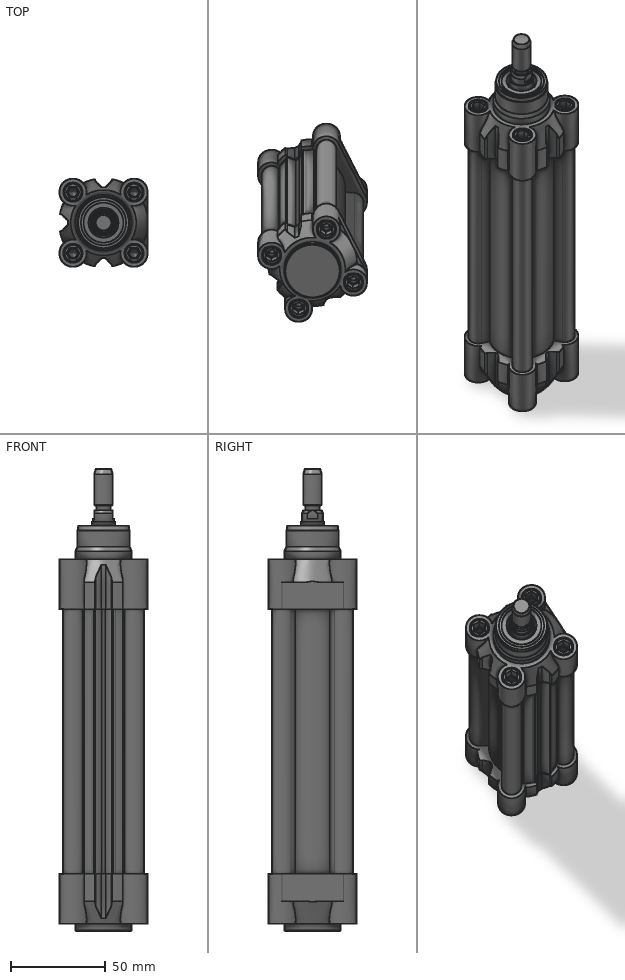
import cadquery as cq
import math


SQUARE = 47.0
CAP_LENGTH = 26.6
BARREL_LENGTH = 140.8
FRONT_FACE = 2 * CAP_LENGTH + BARREL_LENGTH
OVERLAP = 1.0

SCREW_OFFSET = 32.5 / 2
COLUMN_RADIUS = SQUARE / 2 - SCREW_OFFSET
CAP_FACE_RADIUS = 17.4
RIDGE_RADIUS = 23.7
RIDGE_HALF_WIDTH = 10.2
SLOPE_LENGTH = 12.2
V_FLOOR = 18.9
V_FLOOR_HALF_WIDTH = 1.1
V_WALL_REACH = 3.0
V_LIP_HALF_WIDTH = 4.8

SCREW_GROOVE_OUTER = 10.3 / 2
SCREW_GROOVE_INNER = 4.4
SCREW_GROOVE_DEPTH = 2.0
SOCKET_WIDTH = 6.0
SOCKET_DEPTH = 8.0
CORE_RADIUS = 4.92 / 2
CORE_DEPTH = 14.0
DRILL_TIP_ANGLE = 118.0
DRILL_TIP = CORE_RADIUS / math.tan(math.radians(DRILL_TIP_ANGLE / 2))

COLLAR_RADIUS = 15.0
COLLAR_LENGTH = 4.0
FRONT_COLLAR_LENGTH = 4.3
COLLAR_CHAMFER = 0.6
NECK_RADIUS = 14.0
NECK_START = 6.6
NECK_BEVEL_START = 15.1
NECK_BEVEL_RADIUS = 13.8
NECK_BEVEL_END = 15.5
NECK_TOP = 17.8
NECK_TOP_RADIUS = 13.5
RING_GROOVE_INNER = 10.6
RING_GROOVE_OUTER = 12.0
RING_GROOVE_DEPTH = 0.5
ROD_RECESS_RADIUS = 8.0
ROD_RECESS_FLOOR_RADIUS = 7.0
ROD_RECESS_TAPER = 3.0
ROD_RECESS_DEPTH = 6.0

ROD_RADIUS = 6.35
ROD_STEP = 20.0
FLAT_BODY_RADIUS = 5.7
ROD_SHOULDER = 26.0
SHOULDER_CHAMFER_RADIUS = 5.0
SHOULDER_CHAMFER_LENGTH = 1.7
UNDERCUT_RADIUS = 3.9
UNDERCUT_END = 28.3
UNDERCUT_TAPER_END = 29.0
ROD_THREAD_RADIUS = 5.0
ROD_TIP_CHAMFER_START = 45.2
ROD_TIP_RADIUS = 4.1
ROD_TIP = 48.0
FLAT_HALF_DISTANCE = 5.0
FLAT_START = 21.5

TUBE_RADIUS = 17.5
BARREL_COLUMN_RADIUS = 5.3
WEB_SLOPE = 30.0
WEB_LENGTH = 6.0
RAIL_FLOOR = 18.0
RAIL_FLOOR_HALF_WIDTH = 12.5
RAIL_ROOT = 12.5
RAIL_FOOT = (10.2, 19.0)
RAIL_SHOULDER = (6.2, 20.7)
RAIL_LIP = (5.2, 21.4)
BARREL_V_FLOOR = 18.1
BARREL_V_HALF_WIDTH = 1.0

CORNERS = [(SCREW_OFFSET * sx, SCREW_OFFSET * sy) for sx in (-1, 1) for sy in (-1, 1)]


def revolve_profile(points):
    """Solid of revolution about Z from (radius, height) points."""
    profile = cq.Workplane("XZ").polyline(points).close()
    return profile.revolve(360, (0, 0, 0), (0, 1, 0))


def box_between(x, y, z):
    """Box spanning the given (low, high) pairs."""
    size = (x[1] - x[0], y[1] - y[0], z[1] - z[0])
    return cq.Workplane("XY").box(*size, centered=False).translate((x[0], y[0], z[0]))


def cap_ridges():
    """Round outer surface with a sloped shoulder, kept to the bands between the columns."""
    shoulder = CAP_LENGTH - SLOPE_LENGTH
    ridges = revolve_profile([
        (0, 0),
        (RIDGE_RADIUS, 0),
        (RIDGE_RADIUS, shoulder),
        (CAP_FACE_RADIUS, CAP_LENGTH),
        (0, CAP_LENGTH),
    ])
    half = SQUARE / 2
    band = (-RIDGE_HALF_WIDTH, RIDGE_HALF_WIDTH)
    across = box_between((-half, half), band, (0, CAP_LENGTH))
    along = box_between(band, (-half, half), (0, CAP_LENGTH))
    return ridges.intersect(across.union(along))


def cap_side_fill():
    """Flat +X side that closes the space between its two columns."""
    half = SQUARE / 2
    return box_between((0, half), (-SCREW_OFFSET, SCREW_OFFSET), (0, CAP_LENGTH - SLOPE_LENGTH))


def v_groove(turn):
    """V groove along the cap; zero turn puts it on the -Y side."""
    right = [
        (V_FLOOR_HALF_WIDTH, -V_FLOOR),
        (V_FLOOR_HALF_WIDTH + V_WALL_REACH, -V_FLOOR - V_WALL_REACH),
        (V_LIP_HALF_WIDTH, -SQUARE / 2),
        (V_LIP_HALF_WIDTH, -SQUARE / 2 - OVERLAP),
    ]
    left = [(-x, y) for x, y in reversed(right)]
    groove = cq.Workplane("XY").polyline(right + left).close().extrude(CAP_LENGTH)
    return groove.rotate((0, 0, 0), (0, 0, 1), turn)


def screw_cut():
    """Ring around a screw head, with its hexagon socket and drilled hole, below Z = 0."""
    groove = (
        cq.Workplane("XY")
        .circle(SCREW_GROOVE_OUTER)
        .circle(SCREW_GROOVE_INNER)
        .extrude(-SCREW_GROOVE_DEPTH)
    )
    across_corners = SOCKET_WIDTH / math.cos(math.radians(30))
    socket = cq.Workplane("XY").polygon(6, across_corners).extrude(-SOCKET_DEPTH)
    hole = revolve_profile([
        (0, 0),
        (CORE_RADIUS, 0),
        (CORE_RADIUS, -CORE_DEPTH),
        (0, -CORE_DEPTH - DRILL_TIP),
    ])
    return groove.union(socket).union(hole)


def make_cap():
    """Square cap section, inner face at Z = 0 and outer face at the top."""
    cap = cq.Workplane("XY").circle(CAP_FACE_RADIUS).extrude(CAP_LENGTH)
    cap = cap.union(cap_ridges()).union(cap_side_fill())
    for turn in (0, -90, 180):
        cap = cap.cut(v_groove(turn))
    cap = cap.union(cq.Workplane("XY").pushPoints(CORNERS).circle(COLUMN_RADIUS).extrude(CAP_LENGTH))
    for x, y in CORNERS:
        cap = cap.cut(screw_cut().translate((x, y, CAP_LENGTH)))
    return cap


def make_front_cap():
    """Front cap with the stepped rod bearing neck."""
    neck = revolve_profile([
        (0, -OVERLAP),
        (COLLAR_RADIUS, -OVERLAP),
        (COLLAR_RADIUS, FRONT_COLLAR_LENGTH),
        (NECK_RADIUS, NECK_START),
        (NECK_RADIUS, NECK_BEVEL_START),
        (NECK_BEVEL_RADIUS, NECK_BEVEL_END),
        (NECK_TOP_RADIUS, NECK_TOP),
        (0, NECK_TOP),
    ]).translate((0, 0, FRONT_FACE))
    top = cq.Workplane("XY", origin=(0, 0, FRONT_FACE + NECK_TOP))
    ring_groove = top.circle(RING_GROOVE_OUTER).circle(RING_GROOVE_INNER).extrude(-RING_GROOVE_DEPTH)
    rod_recess = revolve_profile([
        (0, 0),
        (ROD_RECESS_RADIUS, 0),
        (ROD_RECESS_FLOOR_RADIUS, -ROD_RECESS_TAPER),
        (ROD_RECESS_FLOOR_RADIUS, -ROD_RECESS_DEPTH),
        (0, -ROD_RECESS_DEPTH),
    ]).translate((0, 0, FRONT_FACE + NECK_TOP))
    rod_hole = top.circle(ROD_RADIUS).extrude(-NECK_TOP - CAP_LENGTH)
    cap = make_cap().translate((0, 0, FRONT_FACE - CAP_LENGTH)).union(neck)
    return cap.cut(ring_groove).cut(rod_recess).cut(rod_hole)


def make_rear_cap():
    """Rear cap, the mirror of the front one, with a plain centring collar."""
    collar = (
        cq.Workplane("XY", origin=(0, 0, -COLLAR_LENGTH))
        .circle(COLLAR_RADIUS)
        .extrude(COLLAR_LENGTH + OVERLAP)
        .faces("<Z")
        .chamfer(COLLAR_CHAMFER)
    )
    return make_cap().mirror("XY").translate((0, 0, CAP_LENGTH)).union(collar)


def sensor_rail():
    """Raised rail with a V groove on the -Y side of the barrel."""
    lip_x, lip_y = RAIL_LIP
    v_edge = BARREL_V_HALF_WIDTH + lip_y - BARREL_V_FLOOR
    right = [
        (BARREL_V_HALF_WIDTH, BARREL_V_FLOOR),
        (v_edge, lip_y),
        (lip_x, lip_y),
        RAIL_SHOULDER,
        RAIL_FOOT,
        (RAIL_FOOT[0], RAIL_FLOOR),
        (RAIL_FLOOR_HALF_WIDTH, RAIL_FLOOR),
        (RAIL_FLOOR_HALF_WIDTH, RAIL_ROOT),
    ]
    left = [(-x, y) for x, y in reversed(right)]
    outline = [(x, -y) for x, y in right + left]
    return cq.Workplane("XY").polyline(outline).close().extrude(BARREL_LENGTH)


def column_web():
    """Web from the +X +Y column to the tube; its walls leave the column as tangents."""
    cosine = math.cos(math.radians(WEB_SLOPE))
    sine = math.sin(math.radians(WEB_SLOPE))
    tangent = (
        SCREW_OFFSET + BARREL_COLUMN_RADIUS * sine,
        SCREW_OFFSET - BARREL_COLUMN_RADIUS * cosine,
    )
    root = (tangent[0] - WEB_LENGTH * cosine, tangent[1] - WEB_LENGTH * sine)
    outline = [root, tangent, tangent[::-1], root[::-1]]
    return cq.Workplane("XY").polyline(outline).close().extrude(BARREL_LENGTH)


def make_barrel():
    """Round tube joined by diagonal webs to four corner columns, with one sensor rail."""
    barrel = cq.Workplane("XY").circle(TUBE_RADIUS).extrude(BARREL_LENGTH)
    for turn in (0, 90, 180, 270):
        barrel = barrel.union(column_web().rotate((0, 0, 0), (0, 0, 1), turn))
    columns = cq.Workplane("XY").pushPoints(CORNERS).circle(BARREL_COLUMN_RADIUS).extrude(BARREL_LENGTH)
    barrel = barrel.union(columns).union(sensor_rail())
    return barrel.translate((0, 0, CAP_LENGTH))


def make_rod():
    """Piston rod with spanner flats, thread undercut and threaded end."""
    rod = revolve_profile([
        (0, -CAP_LENGTH),
        (ROD_RADIUS, -CAP_LENGTH),
        (ROD_RADIUS, ROD_STEP),
        (FLAT_BODY_RADIUS, ROD_STEP),
        (FLAT_BODY_RADIUS, ROD_SHOULDER - SHOULDER_CHAMFER_LENGTH),
        (SHOULDER_CHAMFER_RADIUS, ROD_SHOULDER),
        (UNDERCUT_RADIUS, ROD_SHOULDER),
        (UNDERCUT_RADIUS, UNDERCUT_END),
        (ROD_THREAD_RADIUS, UNDERCUT_TAPER_END),
        (ROD_THREAD_RADIUS, ROD_TIP_CHAMFER_START),
        (ROD_TIP_RADIUS, ROD_TIP),
        (0, ROD_TIP),
    ])
    for side in (-1, 1):
        x_range = sorted((side * FLAT_HALF_DISTANCE, side * ROD_RADIUS))
        rod = rod.cut(box_between(x_range, (-ROD_RADIUS, ROD_RADIUS), (FLAT_START, ROD_SHOULDER)))
    return rod.translate((0, 0, FRONT_FACE))


front_cap = make_front_cap()
rear_cap = make_rear_cap()
barrel = make_barrel()
rod = make_rod()

result = cq.Compound.makeCompound([front_cap.val(), rear_cap.val(), barrel.val(), rod.val()])